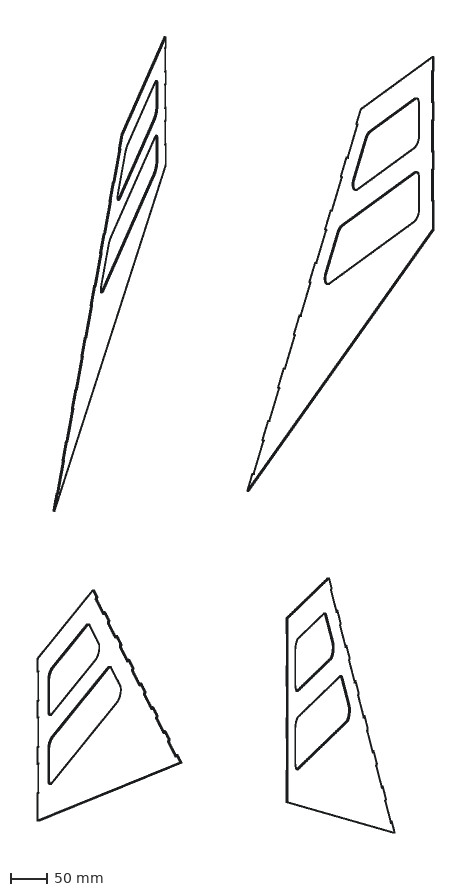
import cadquery as cq
import math

thickness = 1.9
length = 492.0
height = 463.5
top_length = 191.0
back_height = 267.5

first_tab = 21.5
notch_length = 48.0
notch_pitch = 76.0
back_notch_count = 3
back_notch_depth = 2.0
slope_notch_count = 7
slope_notch_depth = 3.5

window_height = 76.0
window_drops = (44.5, 158.5)
back_margin = 36.5
slope_margin = 38.0
window_radius = 13.5

back_y = length / 2
top_z = height / 2
slope_run = length - top_length
slope_length = math.hypot(slope_run, height)
slope_angle = math.degrees(math.atan2(height, slope_run))


def outline_point(distance_from_back, drop):
    """Y, Z of a point measured from the top back corner."""
    return (back_y - distance_from_back, top_z - drop)


def extrude_outline(points):
    """Prism through the plate thickness, centred on X = 0."""
    return cq.Workplane("YZ").polyline(points).close().extrude(thickness / 2, both=True)


def notch_row(start, along, inward, count, depth):
    """Rectangular notches cut square to an edge that runs from start."""
    def edge_point(distance, inset):
        return tuple(s + distance * a + inset * i for s, a, i in zip(start, along, inward))

    notches = cq.Workplane("YZ")
    for index in range(count):
        near = first_tab + index * notch_pitch
        far = near + notch_length
        corners = [
            edge_point(near, -depth),
            edge_point(far, -depth),
            edge_point(far, depth),
            edge_point(near, depth),
        ]
        notches = notches.add(extrude_outline(corners))
    return notches.combine()


def window(drop):
    """Four-sided opening with rounded corners."""
    bottom_drop = drop + window_height
    slope_offset = slope_margin / math.sin(math.radians(slope_angle))

    def front_distance(at_drop):
        return top_length + at_drop * slope_run / height - slope_offset

    corners = [
        outline_point(back_margin, drop),
        outline_point(front_distance(drop), drop),
        outline_point(front_distance(bottom_drop), bottom_drop),
        outline_point(back_margin, bottom_drop),
    ]
    return extrude_outline(corners).edges("|X").fillet(window_radius)


plate = extrude_outline([
    outline_point(0, 0),
    outline_point(top_length, 0),
    outline_point(length, height),
    outline_point(0, back_height),
])

back_notches = notch_row(
    outline_point(0, 0), (0, -1), (-1, 0), back_notch_count, back_notch_depth
)

slope_along = (-slope_run / slope_length, -height / slope_length)
slope_inward = (height / slope_length, -slope_run / slope_length)
slope_notches = notch_row(
    outline_point(top_length, 0), slope_along, slope_inward, slope_notch_count, slope_notch_depth
)

result = plate.cut(back_notches).cut(slope_notches)
for window_drop in window_drops:
    result = result.cut(window(window_drop))